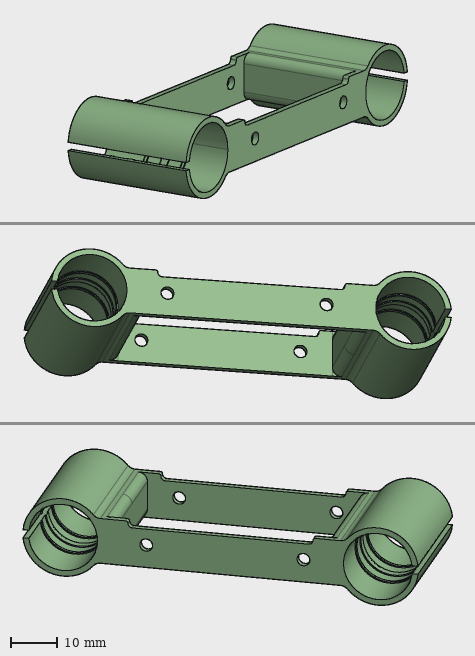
import cadquery as cq
import math

length = 88.0
width = 30.4
ring_radius = 9.0
bore_radius = 7.7
slot_height = 1.85

rib_height = 0.3
center_rib_width = 1.85
side_rib_width = 0.8
side_rib_offset = 4.75

frame_height = 10.4
blend_radius = 2.0
wall_thickness = 1.5
window_length = 47.2
web_round = 2.0

recess_length = 41.2
recess_depth = 1.5
recess_floor_radius = 1.0
recess_lip_radius = 0.5

hole_diameter = 2.8
hole_spacing = 35.0
hole_shift = 1.0

ring_reach = math.sqrt(ring_radius**2 - (slot_height / 2) ** 2)
ring_y = length / 2 - ring_reach
frame_top = frame_height / 2
window_width = width - 2 * wall_thickness


def box(size_x, size_y, size_z, center=(0, 0, 0)):
    return cq.Workplane("XY").box(size_x, size_y, size_z).translate(center)


def cylinder_along_x(radius, size_x, center_y, center_x=0):
    """Solid cylinder parallel to X, at mid height."""
    disc = cq.Workplane("YZ").center(center_y, 0).circle(radius)
    return disc.extrude(size_x / 2, both=True).translate((center_x, 0, 0))


def frame_and_rings():
    """Solid bar with a cylinder at each end, blended by concave fillets."""
    body = box(width, 2 * ring_y, frame_height)
    for side in (-1, 1):
        body = body.union(cylinder_along_x(ring_radius, width, side * ring_y))
    joint_y = ring_y - math.sqrt(ring_radius**2 - frame_top**2)
    reach = 0.1
    joint_edges = cq.selectors.BoxSelector(
        (-width, -joint_y - reach, -frame_top - reach),
        (width, joint_y + reach, frame_top + reach),
    )
    return body.edges("|X").edges(joint_edges).fillet(blend_radius)


def window():
    """Through opening whose end walls leave rounded web edges."""
    opening = box(window_width, window_length, frame_height)
    for side_y in (-1, 1):
        web_face = side_y * window_length / 2
        for side_z in (-1, 1):
            corner = box(
                window_width,
                web_round,
                web_round,
                (0, web_face + side_y * web_round / 2, side_z * (frame_top - web_round / 2)),
            )
            rounding = (
                cylinder_along_x(web_round, window_width, web_face + side_y * web_round)
                .translate((0, 0, side_z * (frame_top - web_round)))
            )
            opening = opening.union(corner.cut(rounding))
    return opening


def wall_recess():
    """Recess with a concave floor corner and a convex lip at each end."""
    half = recess_length / 2
    floor = frame_top - recess_depth
    profile = (
        cq.Workplane("YZ")
        .moveTo(-half - recess_lip_radius, frame_top)
        .radiusArc((-half, frame_top - recess_lip_radius), recess_lip_radius)
        .radiusArc((-half + recess_floor_radius, floor), -recess_floor_radius)
        .lineTo(half - recess_floor_radius, floor)
        .radiusArc((half, frame_top - recess_lip_radius), -recess_floor_radius)
        .radiusArc((half + recess_lip_radius, frame_top), recess_lip_radius)
        .close()
    )
    return profile.extrude(width / 2, both=True)


def ribbed_bore(center_y):
    """Bore volume, narrowed at three grip ribs."""
    bore = cylinder_along_x(bore_radius, width, center_y)
    core = cylinder_along_x(bore_radius - rib_height, width, center_y)
    ribs = (
        (-side_rib_offset, side_rib_width),
        (0, center_rib_width),
        (side_rib_offset, side_rib_width),
    )
    for rib_x, rib_width in ribs:
        bore = bore.cut(cylinder_along_x(bore_radius, rib_width, center_y, rib_x))
    return bore.union(core)


result = frame_and_rings().cut(window()).cut(wall_recess())

for side in (-1, 1):
    result = result.cut(ribbed_bore(side * ring_y))
    slot_center = (0, side * (ring_y + ring_radius / 2), 0)
    result = result.cut(box(width, ring_radius, slot_height, slot_center))
    hole_y = hole_shift + side * hole_spacing / 2
    result = result.cut(cylinder_along_x(hole_diameter / 2, width, hole_y))